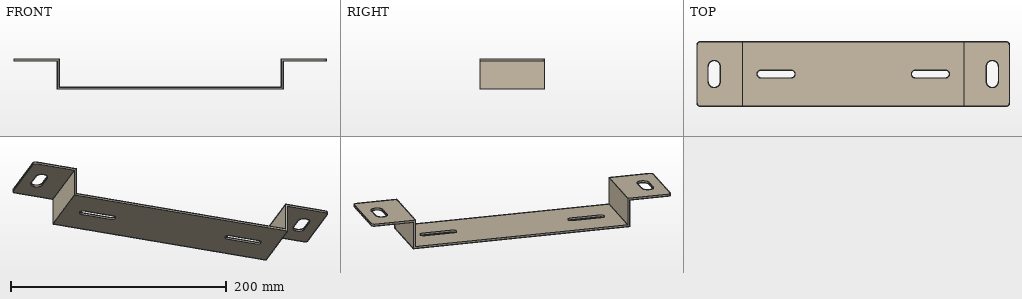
import cadquery as cq

length = 290.0
width = 60.0
height = 28.0
thickness = 2.0

flange_length = 42.0
corner_radius = 3.0

flange_slot_length = 25.0
flange_slot_width = 11.0
flange_slot_offset = length / 2 - 16.0
base_slot_length = 35.0
base_slot_width = 7.0
base_slot_offset = 71.5

half_length = length / 2
inner_face = half_length - flange_length
outer_face = inner_face + thickness


def make_strip():
    """Sharp-cornered hat-shaped sheet profile, extruded across the width."""
    right_half = [
        (outer_face, 0),
        (outer_face, height - thickness),
        (half_length, height - thickness),
        (half_length, height),
        (inner_face, height),
        (inner_face, thickness),
    ]
    left_half = [(-x, z) for x, z in reversed(right_half)]
    return cq.Workplane("XZ").polyline(right_half + left_half).close().extrude(width / 2, both=True)


def slot_cutters(offset, slot_length, slot_width, angle):
    """A mirrored pair of slots through the full height."""
    return (
        cq.Workplane("XY")
        .pushPoints([(-offset, 0), (offset, 0)])
        .slot2D(slot_length, slot_width, angle)
        .extrude(height)
    )


strip = make_strip().faces("<X or >X").edges("|Z").fillet(corner_radius)
strip = strip.cut(slot_cutters(flange_slot_offset, flange_slot_length, flange_slot_width, 90))
result = strip.cut(slot_cutters(base_slot_offset, base_slot_length, base_slot_width, 0))